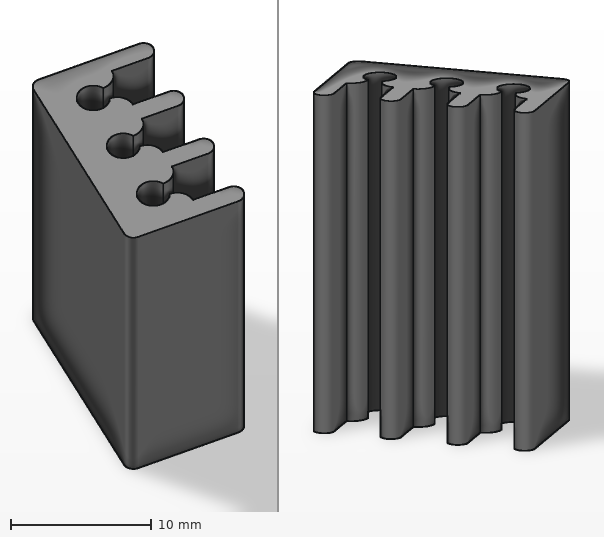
import cadquery as cq
import math

slot_count = 3
slot_pitch = 5.0
fin_width = 1.5
depth = 9.4
height = 25.0
bore_radius = 1.18
bore_center_y = 3.5
neck_half_gap = 0.55
lip_top_y = 5.8
lip_radius = 1.25

width = slot_count * slot_pitch + fin_width
slot_half_width = (slot_pitch - fin_width) / 2
edge_radius = fin_width / 2
fin_round_y = depth - edge_radius
neck_y = bore_center_y + math.sqrt(bore_radius**2 - neck_half_gap**2)


def make_body():
    """Block with rounded upright edges, before the slots are cut."""
    block = cq.Workplane("XY").box(width, depth, height, centered=(True, False, False))
    return block.edges("|Z").fillet(edge_radius)


def slot_cutter(center_x):
    """Keyhole slot: round bore, neck between convex lips, open mouth that rounds the fin tips."""
    return (
        cq.Workplane("XY", origin=(center_x, 0, 0))
        .moveTo(-neck_half_gap, neck_y)
        .threePointArc((0, bore_center_y - bore_radius), (neck_half_gap, neck_y))
        .radiusArc((slot_half_width, lip_top_y), lip_radius)
        .lineTo(slot_half_width, fin_round_y)
        .radiusArc((slot_half_width + edge_radius, depth), edge_radius)
        .lineTo(-slot_half_width - edge_radius, depth)
        .radiusArc((-slot_half_width, fin_round_y), edge_radius)
        .lineTo(-slot_half_width, lip_top_y)
        .radiusArc((-neck_half_gap, neck_y), lip_radius)
        .close()
        .extrude(height)
    )


result = make_body()
for index in range(slot_count):
    slot_x = (index - (slot_count - 1) / 2) * slot_pitch
    result = result.cut(slot_cutter(slot_x))